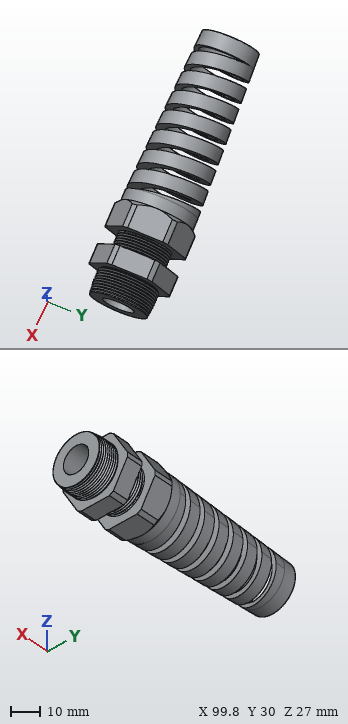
import cadquery as cq
import math

ACROSS_FLATS = 27.0
CORNER_RADIUS = 15.0
CAP_HEX_START = 65.9
CAP_END = 76.0

TIP_RADIUS = 10.7
COLLAR_RADIUS = ACROSS_FLATS / 2
TIP_BORE_RADIUS = 9.3
ROOT_BORE_RADIUS = 8.7
TIP_RING_LENGTH = 5.9
COLLAR_START = 61.6

SLOT_WIDTH = 2.5
SLOT_PITCH = 7.64
SLOT_TURNS = 8
SLOT_START = 2.1
SLOT_INNER_RADIUS = 7.0
SLOT_OUTER_RADIUS = 15.0

LENGTH = 99.8
CABLE_BORE_RADIUS = 5.9
BODY_HEX_START = 82.8
BODY_HEX_END = 90.0
THREAD_PITCH = 1.0
THREAD_DEPTH = 0.7
CAP_THREAD_RADIUS = 10.0
ENTRY_THREAD_RADIUS = 11.3
CAP_THREAD_CRESTS = 7
ENTRY_THREAD_CRESTS = 10
FULL_ENTRY_CRESTS = 6
END_CREST_RADIUS = 10.8
ENTRY_THREAD_START = LENGTH - (ENTRY_THREAD_CRESTS - 1) * THREAD_PITCH
SPIGOT_START = CAP_HEX_START
SPIGOT_RADIUS = CAP_THREAD_RADIUS - THREAD_DEPTH


def turned(outline):
    """Solid of revolution about X from (x, radius) points."""
    return cq.Workplane("XY").polyline(outline).close().revolve(360, (0, 0, 0), (1, 0, 0))


def cylinder(start, end, radius):
    return cq.Workplane("YZ", origin=(start, 0, 0)).circle(radius).extrude(end - start)


def hexagon(start, end):
    """Hexagonal prism along X whose corners are rounded to CORNER_RADIUS."""
    across_corners = ACROSS_FLATS / math.cos(math.pi / 6)
    prism = cq.Workplane("YZ", origin=(start, 0, 0)).polygon(6, across_corners).extrude(end - start)
    return prism.intersect(cylinder(start, end, CORNER_RADIUS))


def cap_hexagon():
    """Hexagon of the cap, with a 45 degree turned chamfer facing the spiral."""
    chamfer = CORNER_RADIUS - COLLAR_RADIUS
    envelope = turned([
        (CAP_HEX_START, 0),
        (CAP_HEX_START, COLLAR_RADIUS),
        (CAP_HEX_START + chamfer, CORNER_RADIUS),
        (CAP_END, CORNER_RADIUS),
        (CAP_END, 0),
    ])
    return hexagon(CAP_HEX_START, CAP_END).intersect(envelope)


def spiral_slot():
    """Right-handed helical cutter, longer at both ends than the coil it separates."""
    middle_radius = (SLOT_INNER_RADIUS + SLOT_OUTER_RADIUS) / 2
    path = cq.Wire.makeHelix(SLOT_PITCH, SLOT_PITCH * SLOT_TURNS, middle_radius)
    return (
        cq.Workplane("XZ")
        .center(middle_radius, 0)
        .rect(SLOT_OUTER_RADIUS - SLOT_INNER_RADIUS, SLOT_WIDTH)
        .sweep(cq.Workplane(path), isFrenet=True)
        .rotate((0, 0, 0), (0, 1, 0), 90)
        .translate((SLOT_START, 0, 0))
    )


def interpolate(start_value, end_value, x):
    """Value at x of a straight taper from the tip to the collar."""
    return start_value + (end_value - start_value) * x / COLLAR_START


def taper_tube(start, end):
    """Stretch of the tapered strain relief between two positions along X."""
    return turned([
        (start, interpolate(TIP_BORE_RADIUS, ROOT_BORE_RADIUS, start)),
        (start, interpolate(TIP_RADIUS, COLLAR_RADIUS, start)),
        (end, interpolate(TIP_RADIUS, COLLAR_RADIUS, end)),
        (end, interpolate(TIP_BORE_RADIUS, ROOT_BORE_RADIUS, end)),
    ])


def make_cap_nut():
    """Tip ring, spiral coil and hexagonal nut as one solid, bored to receive the spigot."""
    tip_ring = taper_tube(0, TIP_RING_LENGTH)
    coil = taper_tube(TIP_RING_LENGTH, COLLAR_START).cut(spiral_slot())
    nut_bore = turned([
        (COLLAR_START, 0),
        (COLLAR_START, ROOT_BORE_RADIUS),
        (SPIGOT_START, ROOT_BORE_RADIUS),
        (SPIGOT_START, SPIGOT_RADIUS),
        (CAP_END, SPIGOT_RADIUS),
        (CAP_END, 0),
    ])
    collar = cylinder(COLLAR_START, CAP_HEX_START, COLLAR_RADIUS)
    nut = collar.union(cap_hexagon()).cut(nut_bore)
    return nut.union(coil, clean=False).union(tip_ring, clean=False)


def thread_ridges(first_crest, crest_radii, root_radius):
    """Outline points of V-shaped ridges, one pitch apart; each ridge starts in its valley."""
    points = []
    for index, crest_radius in enumerate(crest_radii):
        crest = first_crest + index * THREAD_PITCH
        points.append((crest - THREAD_PITCH / 2, root_radius))
        points.append((crest, crest_radius))
    return points


def entry_crest_radius(index):
    """Crest radius of the entry thread, which tapers over its last ridges."""
    tapered = max(0, index - FULL_ENTRY_CRESTS + 1)
    step = (ENTRY_THREAD_RADIUS - END_CREST_RADIUS) / (ENTRY_THREAD_CRESTS - FULL_ENTRY_CRESTS)
    return ENTRY_THREAD_RADIUS - tapered * step


def make_gland_body():
    entry_root = ENTRY_THREAD_RADIUS - THREAD_DEPTH
    cap_crests = [CAP_THREAD_RADIUS] * CAP_THREAD_CRESTS
    entry_crests = [entry_crest_radius(index) for index in range(ENTRY_THREAD_CRESTS)]
    cap_ridges = thread_ridges(CAP_END, cap_crests, SPIGOT_RADIUS)
    entry_ridges = thread_ridges(ENTRY_THREAD_START, entry_crests, entry_root)
    shank = turned([
        (SPIGOT_START, CABLE_BORE_RADIUS),
        (SPIGOT_START, SPIGOT_RADIUS),
        (CAP_END, SPIGOT_RADIUS),
        *cap_ridges[1:],
        (BODY_HEX_START, SPIGOT_RADIUS),
        (BODY_HEX_END, entry_root),
        *entry_ridges,
        (LENGTH, CABLE_BORE_RADIUS),
    ])
    bore = cylinder(BODY_HEX_START, BODY_HEX_END, CABLE_BORE_RADIUS)
    return shank.union(hexagon(BODY_HEX_START, BODY_HEX_END).cut(bore))


cap_nut = make_cap_nut()
gland_body = make_gland_body()
result = cq.Compound.makeCompound([cap_nut.solids().val(), gland_body.solids().val()])